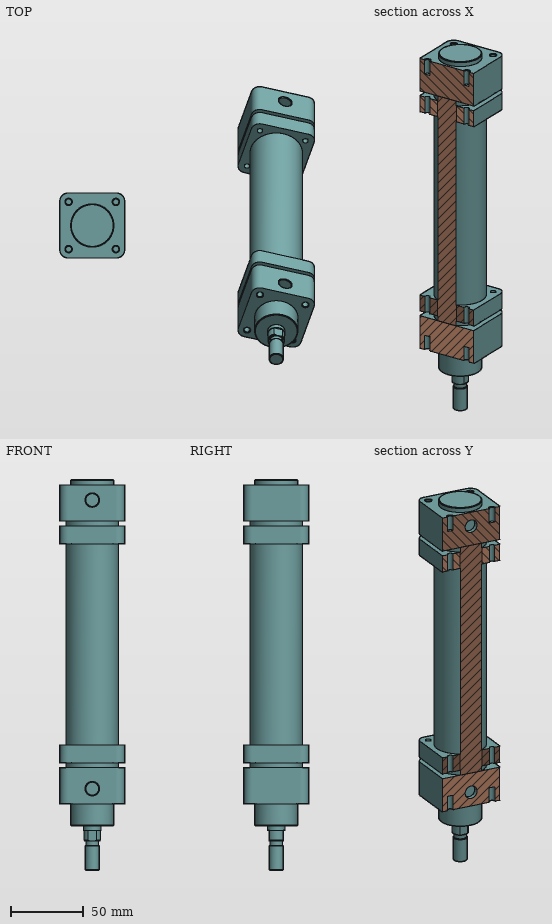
import cadquery as cq

TOTAL_LENGTH = 269.0
SQUARE_SIDE = 45.0
CORNER_RADIUS = 6.0

CAP_LENGTH = 25.0
FLANGE_LENGTH = 12.5
CAP_GAP = 3.2
REAR_BOSS_LENGTH = 3.5
FRONT_BOSS_LENGTH = 15.0
ROD_LENGTH = 30.7

TUBE_DIAMETER = 36.3
BOSS_DIAMETER = 29.9
BOSS_CHAMFER = 0.5

PORT_DIAMETER = 9.0
PORT_CHAMFER = 0.5
PORT_DEPTH = 9.5
PORT_FROM_END = 10.5

HOLE_PITCH = 32.5
CAP_HOLE_DIAMETER = 4.0
CAP_HOLE_CHAMFER = 0.5
CAP_HOLE_DEPTH = 10.8
FLANGE_HOLE_DIAMETER = 3.8

COLLAR_DIAMETER = 12.0
COLLAR_LENGTH = 3.2
SHANK_DIAMETER = 11.5
FLATS_LENGTH = 7.3
SHANK_CHAMFER = 0.5
FLATS_WIDTH = 10.0
NECK_DIAMETER = 9.0
NECK_LENGTH = 3.0
THREAD_DIAMETER = 10.0
THREAD_CHAMFER = 0.5

CHAMFER_ANGLE = 45

FRONT_CAP_BOTTOM = ROD_LENGTH + FRONT_BOSS_LENGTH
FRONT_CAP_TOP = FRONT_CAP_BOTTOM + CAP_LENGTH
REAR_CAP_TOP = TOTAL_LENGTH - REAR_BOSS_LENGTH
REAR_CAP_BOTTOM = REAR_CAP_TOP - CAP_LENGTH
FRONT_FLANGE_BOTTOM = FRONT_CAP_TOP + CAP_GAP
REAR_FLANGE_BOTTOM = REAR_CAP_BOTTOM - CAP_GAP - FLANGE_LENGTH


def cylinder(diameter, bottom, length):
    return cq.Workplane("XY").workplane(offset=bottom).circle(diameter / 2).extrude(length)


def square_block(bottom, length):
    block = cq.Workplane("XY").workplane(offset=bottom).rect(SQUARE_SIDE, SQUARE_SIDE).extrude(length)
    return block.edges("|Z").fillet(CORNER_RADIUS)


def corner_centres(level):
    corners = cq.Workplane("XY").workplane(offset=level).rect(HOLE_PITCH, HOLE_PITCH, forConstruction=True)
    return corners.vertices()


def air_port(level):
    face = cq.Workplane("XZ", origin=(0, -SQUARE_SIDE / 2, level))
    port = face.circle(PORT_DIAMETER / 2).extrude(-PORT_DEPTH)
    countersink = face.circle(PORT_DIAMETER / 2 + PORT_CHAMFER).extrude(-PORT_CHAMFER, taper=CHAMFER_ANGLE)
    return port.union(countersink)


def mounting_holes(face_level, direction):
    """Blind countersunk holes that start at face_level; direction is +1 for up and -1 for down."""
    centres = corner_centres(face_level)
    holes = centres.circle(CAP_HOLE_DIAMETER / 2).extrude(direction * CAP_HOLE_DEPTH)
    mouth_radius = CAP_HOLE_DIAMETER / 2 + CAP_HOLE_CHAMFER
    return holes.union(centres.circle(mouth_radius).extrude(direction * CAP_HOLE_CHAMFER, taper=CHAMFER_ANGLE))


def make_front_cap():
    """Cap at the rod end, with its long boss, port and blind holes in the lower face."""
    boss = cylinder(BOSS_DIAMETER, ROD_LENGTH, FRONT_BOSS_LENGTH).faces("<Z").chamfer(BOSS_CHAMFER)
    cap = square_block(FRONT_CAP_BOTTOM, CAP_LENGTH).union(boss)
    cap = cap.cut(air_port(FRONT_CAP_BOTTOM + PORT_FROM_END))
    return cap.cut(mounting_holes(FRONT_CAP_BOTTOM, 1))


def make_rear_cap():
    """Cap at the closed end, with its short boss, port and blind holes in the upper face."""
    boss = cylinder(BOSS_DIAMETER, REAR_CAP_TOP, REAR_BOSS_LENGTH).faces(">Z").chamfer(BOSS_CHAMFER)
    cap = square_block(REAR_CAP_BOTTOM, CAP_LENGTH).union(boss)
    cap = cap.cut(air_port(REAR_CAP_TOP - PORT_FROM_END))
    return cap.cut(mounting_holes(REAR_CAP_TOP, -1))


def make_flange(bottom):
    """Square ring around the tube with four through holes."""
    flange = square_block(bottom, FLANGE_LENGTH).cut(cylinder(TUBE_DIAMETER, bottom, FLANGE_LENGTH))
    return flange.cut(corner_centres(bottom).circle(FLANGE_HOLE_DIAMETER / 2).extrude(FLANGE_LENGTH))


def make_tube():
    """Cylinder barrel between the inner faces of the two caps."""
    return cylinder(TUBE_DIAMETER, FRONT_CAP_TOP, REAR_CAP_BOTTOM - FRONT_CAP_TOP)


def make_rod():
    """Rod end below the front boss, with wrench flats facing -Y and +Y."""
    flats_top = ROD_LENGTH - COLLAR_LENGTH
    flats_bottom = flats_top - FLATS_LENGTH
    thread_length = flats_bottom - NECK_LENGTH
    collar = cylinder(COLLAR_DIAMETER, flats_top, COLLAR_LENGTH)
    shank = cylinder(SHANK_DIAMETER, flats_bottom, FLATS_LENGTH).faces("<Z").chamfer(SHANK_CHAMFER)
    flats = cq.Workplane("XY").workplane(offset=flats_bottom).rect(SHANK_DIAMETER, FLATS_WIDTH)
    shank = shank.intersect(flats.extrude(FLATS_LENGTH))
    neck = cylinder(NECK_DIAMETER, thread_length, NECK_LENGTH)
    thread = cylinder(THREAD_DIAMETER, 0, thread_length).faces("<Z or >Z").chamfer(THREAD_CHAMFER)
    return collar.union(shank).union(neck).union(thread)


front_cap = make_front_cap()
rear_cap = make_rear_cap()
flanges = [make_flange(bottom) for bottom in (FRONT_FLANGE_BOTTOM, REAR_FLANGE_BOTTOM)]
tube = make_tube()
rod = make_rod()

result = cq.Compound.makeCompound(
    [front_cap.val(), rear_cap.val(), *[flange.val() for flange in flanges], tube.val(), rod.val()]
)